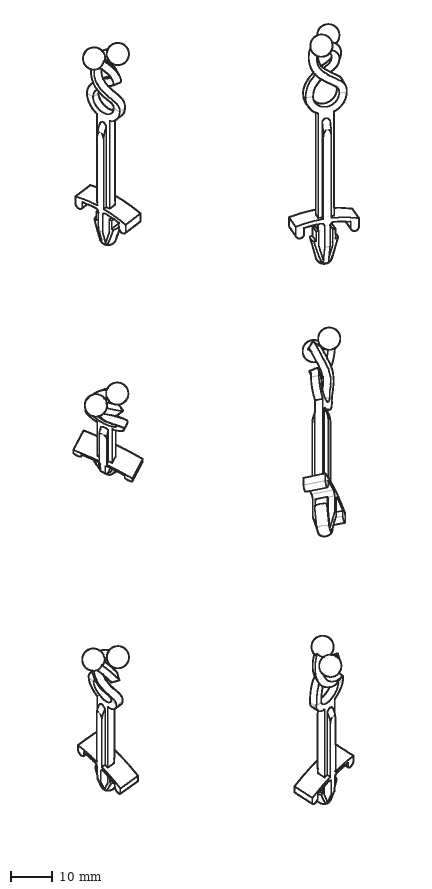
import cadquery as cq
import math

blade_width = 4.0
bar_thickness = 2.0
ring_center_z = 46.15
rib_shoulder_z = 34.95
rib_mid_radius, rib_mid_z = 2.0, 37.25
rib_tip_z = 39.85

ring_outer_radius = 5.2
ring_inner_radius = 3.3
ring_mid_radius = (ring_outer_radius + ring_inner_radius) / 2
ring_width = ring_outer_radius - ring_inner_radius
loop_center_x = 1.4
loop_center_z = 55.5
ball_radius = 2.7
ball_x, ball_y = 1.65, 2.485
ball_z = 62.95 - ball_radius

foot_width = 16.0
foot_depth = 5.55
foot_front_y = -blade_width / 2
foot_center_y = foot_front_y + foot_depth / 2
arch_top_z = 13.35
arch_radius = 29.6
arch_thickness = 1.15
leg_width = 2.15
leg_bottom_z = 8.95

stem_thickness = 1.3
stem_fillet = 1.0
stem_taper_z = 5.8
stem_bottom_z = 1.0
barb_depth = 3.1
barb_radius, barb_top_z = 3.4, 7.0
nose_radius, nose_z = 1.95, 1.4
nose_mid_radius, nose_mid_z = 1.15, 0.4
tab_outer_x, tab_inner_x = 2.45, 1.75
tab_top_z = 9.6
slot_taper_z, slot_bottom_z = 5.55, 1.75


def box(width, depth, bottom, top, center_y=0):
    """Upright block centred on X, between two heights."""
    return cq.Workplane("XY", origin=(0, center_y, bottom)).rect(width, depth).extrude(top - bottom)


def make_shaft():
    blade = box(blade_width, bar_thickness, arch_top_z - arch_thickness, ring_center_z - ring_mid_radius)
    rib = box(bar_thickness, blade_width, arch_top_z - arch_thickness, rib_tip_z)
    corner_radius = math.hypot(bar_thickness, blade_width) / 2
    pointed_envelope = (
        cq.Workplane("XZ")
        .lineTo(corner_radius, 0)
        .lineTo(corner_radius, rib_shoulder_z)
        .threePointArc((rib_mid_radius, rib_mid_z), (bar_thickness / 2, rib_tip_z))
        .lineTo(0, rib_tip_z)
        .close()
        .revolve(360, (0, 0), (0, 1))
    )
    return blade.union(rib.intersect(pointed_envelope))


def make_half_ring():
    ring = (
        cq.Workplane("XZ", origin=(0, -bar_thickness / 2, ring_center_z))
        .circle(ring_outer_radius)
        .circle(ring_inner_radius)
        .extrude(-bar_thickness)
    )
    lower_half = box(2 * ring_outer_radius, bar_thickness, ring_center_z - ring_outer_radius, ring_center_z)
    return ring.intersect(lower_half)


def circle_point(center_x, center_z, degrees, y):
    angle = math.radians(degrees)
    x = center_x + ring_mid_radius * math.cos(angle)
    z = center_z + ring_mid_radius * math.sin(angle)
    return (x, y, z)


def make_arm():
    """Arm rising from the ring's +X side, passing in front, then curling back to its ball."""
    ring_stations = [(0, 0), (30, -0.3), (60, -1.1)]
    loop_stations = [(240, -1.4), (210, -0.8), (180, 0), (150, 0.9), (120, 1.75), (95, 2.4)]
    points = [circle_point(0, ring_center_z, a, y) for a, y in ring_stations]
    points += [circle_point(loop_center_x, loop_center_z, a, y) for a, y in loop_stations]
    path = cq.Workplane("XY").spline(points)
    arm = (
        cq.Workplane("XY", origin=points[0])
        .rect(ring_width, bar_thickness)
        .sweep(path)
    )
    ball = cq.Workplane("XY", origin=(ball_x, ball_y, ball_z)).sphere(ball_radius)
    return arm.union(ball)


def arch_height(x, radius):
    """Height at x on an arc about the arch's centre."""
    return arch_top_z - arch_radius + math.sqrt(radius**2 - x**2)


def make_foot():
    half_width = foot_width / 2
    leg_x = half_width - leg_width
    leg_radius = leg_width / 2
    leg_round_z = leg_bottom_z + leg_radius
    under_radius = arch_radius - arch_thickness
    return (
        cq.Workplane("XZ", origin=(0, foot_front_y, 0))
        .moveTo(-half_width, arch_height(half_width, arch_radius))
        .threePointArc((0, arch_top_z), (half_width, arch_height(half_width, arch_radius)))
        .lineTo(half_width, leg_round_z)
        .threePointArc((half_width - leg_radius, leg_bottom_z), (leg_x, leg_round_z))
        .lineTo(leg_x, arch_height(leg_x, under_radius))
        .threePointArc((0, arch_top_z - arch_thickness), (-leg_x, arch_height(leg_x, under_radius)))
        .lineTo(-leg_x, leg_round_z)
        .threePointArc((leg_radius - half_width, leg_bottom_z), (-half_width, leg_round_z))
        .close()
        .extrude(-foot_depth)
    )


def make_stem():
    top_z = arch_top_z - arch_thickness / 2
    return (
        cq.Workplane("YZ", origin=(-stem_thickness / 2, foot_center_y, 0))
        .moveTo(-foot_depth / 2, top_z)
        .lineTo(foot_depth / 2, top_z)
        .lineTo(foot_depth / 2, stem_taper_z)
        .lineTo(barb_depth / 2, stem_bottom_z)
        .lineTo(-barb_depth / 2, stem_bottom_z)
        .lineTo(-foot_depth / 2, stem_taper_z)
        .close()
        .extrude(stem_thickness)
    )


def fillet_stem_roots(foot):
    root_z = arch_height(stem_thickness / 2, arch_radius - arch_thickness)
    reach = 0.05
    roots = cq.selectors.BoxSelector(
        (-stem_thickness / 2 - reach, foot_front_y - reach, root_z - reach),
        (stem_thickness / 2 + reach, foot_front_y + foot_depth + reach, root_z + reach),
    )
    return foot.edges("|Y").edges(roots).fillet(stem_fillet)


def make_barbs():
    """Round-nosed cone trimmed to a strip, slotted into two springy wings with top tabs."""
    cone = (
        cq.Workplane("XZ", origin=(0, foot_center_y, 0))
        .threePointArc((nose_mid_radius, nose_mid_z), (nose_radius, nose_z))
        .lineTo(barb_radius, barb_top_z)
        .lineTo(0, barb_top_z)
        .close()
        .revolve(360, (0, 0), (0, 1))
    )
    strip = box(2 * barb_radius, barb_depth, 0, barb_top_z, foot_center_y)
    tabs = box(2 * tab_outer_x, barb_depth, slot_taper_z, tab_top_z, foot_center_y)
    slot = (
        cq.Workplane("XZ", origin=(0, foot_center_y, 0))
        .moveTo(-stem_thickness / 2, slot_bottom_z)
        .lineTo(stem_thickness / 2, slot_bottom_z)
        .lineTo(tab_inner_x, slot_taper_z)
        .lineTo(tab_inner_x, tab_top_z)
        .lineTo(-tab_inner_x, tab_top_z)
        .lineTo(-tab_inner_x, slot_taper_z)
        .close()
        .extrude(foot_depth, both=True)
    )
    return cone.intersect(strip).union(tabs).cut(slot)


arm = make_arm()
opposite_arm = arm.rotate((0, 0, 0), (0, 0, 1), 180)
foot = fillet_stem_roots(make_foot().union(make_stem()))

result = (
    make_shaft()
    .union(make_half_ring())
    .union(arm)
    .union(opposite_arm)
    .union(foot)
    .union(make_barbs())
)